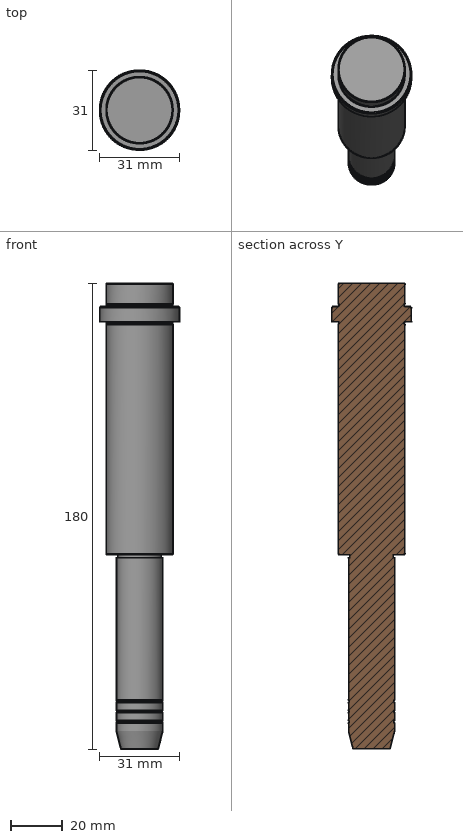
import cadquery as cq

total_length = 180.0
flange_top_depth = 9.0
flange_thickness = 6.0
body_length = 105.0
taper_length = 7.0

flange_diameter = 31.0
body_diameter = 26.0
pin_diameter = 18.0
tip_diameter = 14.4

flange_chamfer = 0.5
body_chamfer = 0.4
tip_fillet = 0.5

relief_width = 1.0
body_relief_depth = 0.4
pin_relief_depth = 0.5

groove_width = 1.0
groove_depth = 0.4
groove_count = 3
first_groove_height = 10.6
groove_pitch = 4.0

flange_top = total_length - flange_top_depth
flange_bottom = flange_top - flange_thickness
body_bottom = total_length - body_length
pin_bottom = taper_length


def cylinder(diameter, bottom, top):
    """Vertical cylinder on the Z axis between two heights."""
    return cq.Workplane("XY").workplane(offset=bottom).circle(diameter / 2).extrude(top - bottom)


def ring_cut(solid, diameter, depth, bottom, top):
    """Cut a rectangular groove around a cylinder of the given diameter."""
    outer = cylinder(diameter, bottom, top)
    core = cylinder(diameter - 2 * depth, bottom, top)
    return solid.cut(outer.cut(core))


def vee_cut(solid, diameter, depth, bottom, top):
    """Cut a symmetric V-shaped groove around a cylinder of the given diameter."""
    radius = diameter / 2
    middle = (bottom + top) / 2
    vee = cq.Workplane("XZ").polyline([(radius, bottom), (radius - depth, middle), (radius, top)]).close()
    return solid.cut(vee.revolve(360, (0, 0, 0), (0, 1, 0)))


def tapered_tip():
    """Lead-in cone with a rounded end edge."""
    tip = (
        cq.Workplane("XY")
        .circle(tip_diameter / 2)
        .workplane(offset=taper_length)
        .circle(pin_diameter / 2)
        .loft(ruled=True)
    )
    return tip.faces("<Z").edges().fillet(tip_fillet)


body = cylinder(body_diameter, body_bottom, total_length)
body = body.faces("<Z or >Z").edges().chamfer(body_chamfer)
for relief_bottom in (flange_top, flange_bottom - relief_width):
    body = vee_cut(body, body_diameter, body_relief_depth, relief_bottom, relief_bottom + relief_width)

flange = cylinder(flange_diameter, flange_bottom, flange_top)
flange = flange.faces(">Z").edges().chamfer(flange_chamfer)

pin = cylinder(pin_diameter, pin_bottom, body_bottom)
pin = ring_cut(pin, pin_diameter, pin_relief_depth, body_bottom - relief_width, body_bottom)
for index in range(groove_count):
    center = first_groove_height + index * groove_pitch
    pin = vee_cut(pin, pin_diameter, groove_depth, center - groove_width / 2, center + groove_width / 2)

centered = (0, 0, -total_length / 2)
result = body.union(flange).union(pin).union(tapered_tip()).translate(centered)